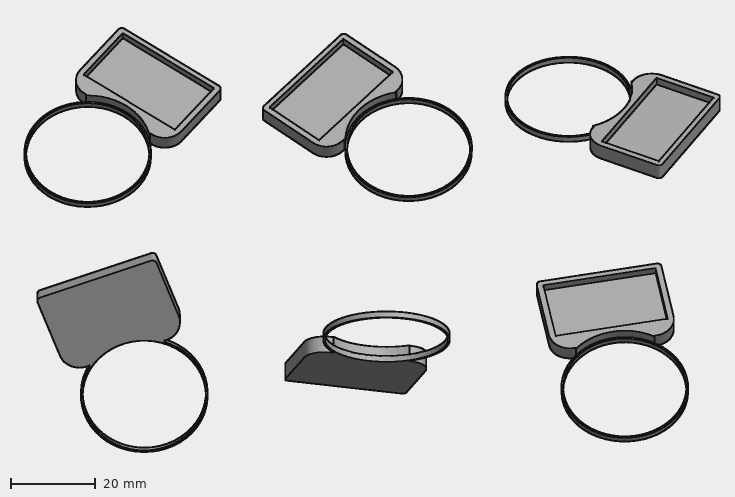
import cadquery as cq

total_length = 47.95
width = 30.0
plate_height = 4.0

ring_radius = width / 2
ring_wall = 0.5
ring_height = 1.5

plate_length = 21.0
back_corner_radius = 1.0
front_corner_radius = 5.0
plate_back = total_length - ring_radius
plate_front = plate_back - plate_length

neck_half_width = 9.45

pocket_width = 27.0
pocket_length = 15.35
pocket_depth = 2.0
back_wall = 1.3


def box_between(half_width, y_front, y_back, height):
    """Box standing on the base plane, symmetric about X = 0."""
    length = y_back - y_front
    return (
        cq.Workplane("XY")
        .center(0, y_front + length / 2)
        .rect(2 * half_width, length)
        .extrude(height)
    )


def make_plate():
    plate = box_between(width / 2, plate_front, plate_back, plate_height)
    plate = plate.edges("|Z and >Y").fillet(back_corner_radius)
    plate = plate.edges("|Z and <Y").fillet(front_corner_radius)

    neck_front = plate_front - ring_wall
    neck = box_between(neck_half_width, neck_front, plate_back - back_wall, plate_height)
    ring_clearance = cq.Workplane("XY").circle(ring_radius).extrude(plate_height)
    return plate.union(neck).cut(ring_clearance)


def make_pocket():
    pocket_back = plate_back - back_wall
    pocket = box_between(pocket_width / 2, pocket_back - pocket_length, pocket_back, pocket_depth)
    return pocket.translate((0, 0, plate_height - pocket_depth))


def make_ring():
    return cq.Workplane("XY").circle(ring_radius).circle(ring_radius - ring_wall).extrude(ring_height)


result = make_plate().cut(make_pocket()).union(make_ring())